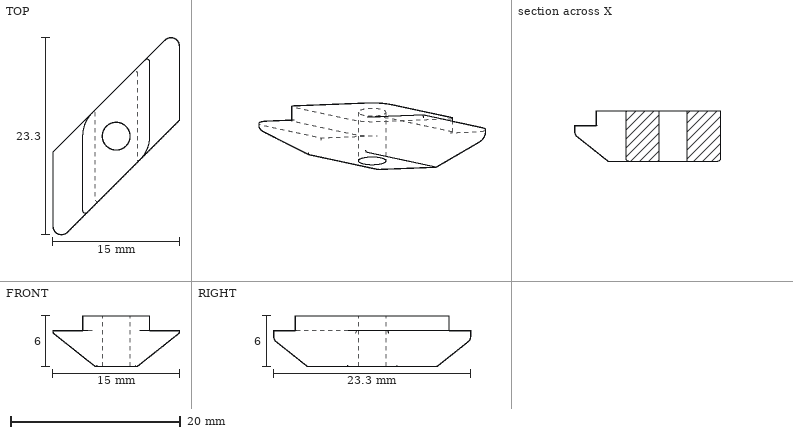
import cadquery as cq
import math

body_width = 14.98
body_length = 23.33
total_height = 6.0
neck_width = 7.93
neck_height = 1.75
bottom_width = 5.0
lip_height = 0.28
hole_diameter = 3.27
neck_tip_radius = 0.33
edge_radius = 0.3

body_height = total_height - neck_height
half_width = body_width / 2
neck_radius = neck_width / 2
end_offset = neck_radius * math.sqrt(2)
body_tip_radius = (half_width + end_offset - body_length / 2) / math.sqrt(2)


def parallelogram(width, height):
    """Upright block with sides along Y and end faces at 45 degrees, standing on Z = 0."""
    half = width / 2
    corners = [
        (-half, -half - end_offset),
        (half, half - end_offset),
        (half, half + end_offset),
        (-half, -half + end_offset),
    ]
    return cq.Workplane("XY").polyline(corners).close().extrude(height)


def make_body():
    """Lower wedge: rounded acute tips, sides sloping inward below a thin lip."""
    plan = parallelogram(body_width, body_height)
    plan = plan.edges("|Z").edges(">Y or <Y").fillet(body_tip_radius)
    section = [
        (-bottom_width / 2, 0),
        (bottom_width / 2, 0),
        (half_width, body_height - lip_height),
        (half_width, body_height),
        (-half_width, body_height),
        (-half_width, body_height - lip_height),
    ]
    wedge = cq.Workplane("XZ").polyline(section).close().extrude(body_length, both=True)
    body = plan.intersect(wedge)

    return body.edges("not (|Z or >Z or (|Y and <Z))").fillet(edge_radius)


def make_neck():
    """Upper block: large rounds at the obtuse corners, small ones at the acute tips."""
    neck = parallelogram(neck_width, neck_height)
    neck = neck.edges("|Z").edges("not(>Y or <Y)").fillet(neck_radius)
    return neck.edges("|Z").edges(">Y or <Y").fillet(neck_tip_radius)


hole = cq.Workplane("XY").circle(hole_diameter / 2).extrude(total_height)
neck = make_neck().translate((0, 0, body_height))
result = make_body().union(neck).cut(hole)